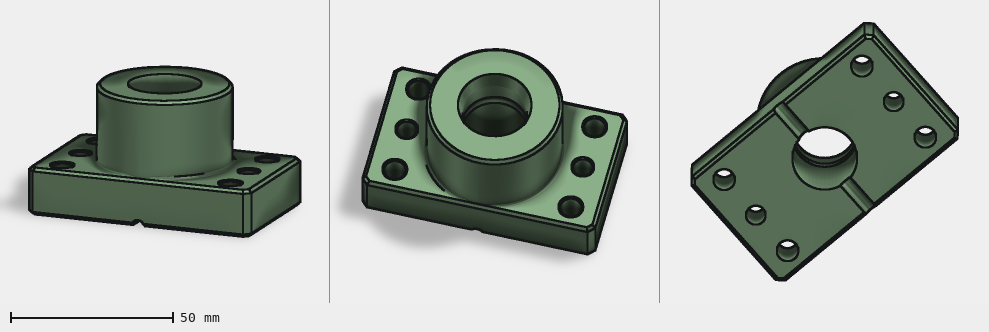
import cadquery as cq
import math

plate_length = 74.0
plate_width = 44.0
plate_height = 15.0
corner_chamfer = 2.0
edge_chamfer = 1.0

total_height = 40.0
boss_edge_gap = 0.01
boss_radius = plate_width / 2 - edge_chamfer - boss_edge_gap
root_fillet = edge_chamfer

bore_radius = 10.0
lead_in_depth = 5.0
lead_in_angle = 15.0
bore_groove_width = 3.5
bore_groove_depth = 1.0
bore_groove_below_top = 12.95

hole_offset_x = 28.0
screw_offset_y = 15.0
screw_hole_radius = 3.3
dowel_hole_radius = 3.0
hole_chamfer = 0.5

channel_radius = 2.0


def make_plate():
    plate = cq.Workplane("XY").box(plate_length, plate_width, plate_height, centered=(True, True, False))
    plate = plate.edges("|Z").chamfer(corner_chamfer)
    return plate.faces("<Z or >Z").chamfer(edge_chamfer)


def make_boss():
    boss = cq.Workplane("XY").circle(boss_radius).extrude(total_height)
    return boss.faces(">Z").chamfer(edge_chamfer)


def fillet_boss_root(body):
    """Round the corner between boss and plate; the fillet dips where it meets the long chamfers."""
    plate_top = cq.NearestToPointSelector((plate_length / 2, 0, plate_height))
    root_edges = body.faces("|Z").faces(plate_top).edges("%CIRCLE")
    return root_edges.fillet(root_fillet)


def make_bore():
    lead_in_radius = bore_radius + lead_in_depth * math.tan(math.radians(lead_in_angle))
    groove_z = total_height - bore_groove_below_top
    return (
        cq.Workplane("XZ")
        .lineTo(bore_radius, 0)
        .lineTo(bore_radius, groove_z - bore_groove_width / 2)
        .threePointArc(
            (bore_radius + bore_groove_depth, groove_z),
            (bore_radius, groove_z + bore_groove_width / 2),
        )
        .lineTo(bore_radius, total_height - lead_in_depth)
        .lineTo(lead_in_radius, total_height)
        .lineTo(0, total_height)
        .close()
        .revolve(360, (0, 0, 0), (0, 1, 0))
    )


def make_plate_hole(radius, x, y):
    """Through hole with a chamfered mouth at the top of the plate."""
    return (
        cq.Workplane("XZ")
        .lineTo(radius, 0)
        .lineTo(radius, plate_height - hole_chamfer)
        .lineTo(radius + hole_chamfer, plate_height)
        .lineTo(0, plate_height)
        .close()
        .revolve(360, (0, 0, 0), (0, 1, 0))
        .translate((x, y, 0))
    )


def make_channel():
    return cq.Workplane("XZ").circle(channel_radius).extrude(plate_width / 2, both=True)


body = fillet_boss_root(make_plate().union(make_boss()))
body = body.cut(make_bore()).cut(make_channel())

for x in (-hole_offset_x, hole_offset_x):
    body = body.cut(make_plate_hole(dowel_hole_radius, x, 0))
    for y in (-screw_offset_y, screw_offset_y):
        body = body.cut(make_plate_hole(screw_hole_radius, x, y))

result = body